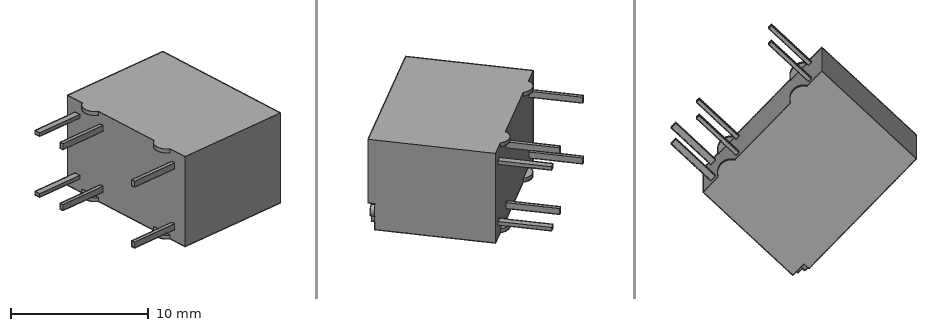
import cadquery as cq

total_depth = 13.5
body_width = 12.5
body_height = 7.5
pin_length = 4.0
body_depth = total_depth - pin_length

pin_long_side = 0.5
pin_short_side = 0.3
row_spacing = 5.08
wide_pin_x = 1.07
near_pin_x = 3.63
contact_spacing = 7.61

standoff_radius = 1.0
standoff_height = 0.5
standoff_thickness = 0.32
first_standoff_x = 2.45

notch_depth = 0.5
notch_radius = 1.17
notch_center_z = -body_height / 2 + 1.0
peg_radius = 0.5


def make_body():
    return cq.Workplane("XY").box(
        body_width, body_depth, body_height, centered=(False, False, True)
    )


def make_pin(x, z, size_x, size_z):
    return (
        cq.Workplane("XY")
        .box(size_x, pin_length, size_z)
        .translate((x, -pin_length / 2, z))
    )


def make_standoff(x, bottom_z):
    """Part of a disc that stands out of the pin face by standoff_height."""
    return (
        cq.Workplane("XY", origin=(x, standoff_radius - standoff_height, bottom_z))
        .circle(standoff_radius)
        .extrude(standoff_thickness)
    )


def make_notch():
    """Recess open to the -X, +Y and -Z faces, less the half peg left on its side wall."""
    top_z = notch_center_z + notch_radius
    bottom_z = -body_height / 2
    recess = (
        cq.Workplane("XZ", origin=(0, body_depth, 0))
        .moveTo(0, bottom_z)
        .lineTo(notch_radius, bottom_z)
        .lineTo(notch_radius, notch_center_z)
        .radiusArc((0, top_z), -notch_radius)
        .close()
        .extrude(notch_depth)
    )
    peg = (
        cq.Workplane("XZ", origin=(0, body_depth, 0))
        .center(notch_radius, notch_center_z)
        .circle(peg_radius)
        .extrude(notch_depth)
    )
    return recess.cut(peg)


result = make_body().cut(make_notch())

for row_z in (-row_spacing / 2, row_spacing / 2):
    result = result.union(make_pin(wide_pin_x, row_z, pin_long_side, pin_short_side))
    for pin_x in (near_pin_x, near_pin_x + contact_spacing):
        result = result.union(make_pin(pin_x, row_z, pin_short_side, pin_long_side))

for standoff_z in (-body_height / 2, body_height / 2 - standoff_thickness):
    for standoff_x in (first_standoff_x, first_standoff_x + contact_spacing):
        result = result.union(make_standoff(standoff_x, standoff_z))